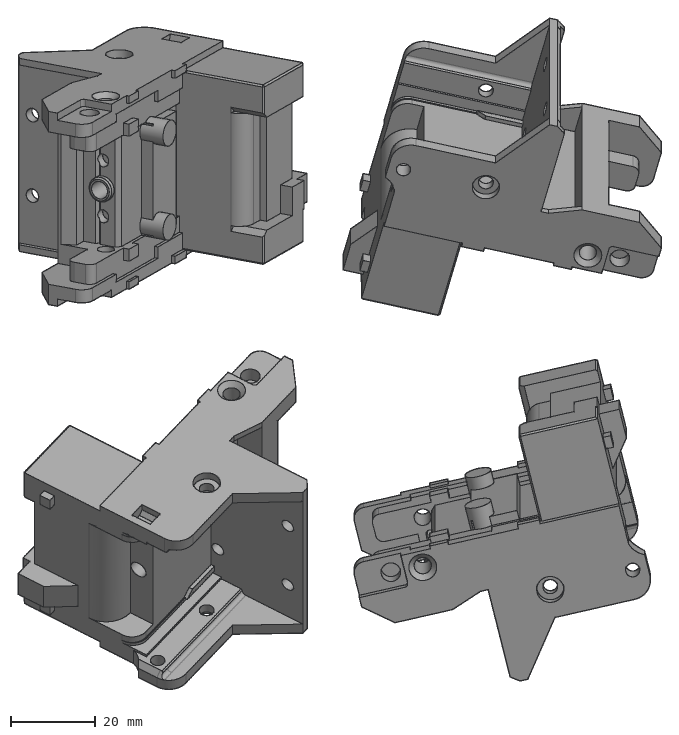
import cadquery as cq
HALF_X = 29.55
HALF_Y = 35.0
HALF_Z = 24.185

FLANGE_LEFT = -16.1
FLANGE_RIGHT = 7.4
FLANGE_BACK = 30.1
FLANGE_THICK = 3.15
FLANGE_CORNER = 4.9
BACK_EAR_Y = 33.2
EAR_CURVE_LEFT = -5.8
EAR_CURVE_RIGHT = -2.3
EAR_CURVE_RADIUS = 5.6
BAND_WIDTH = 3.0
COVE_RADIUS = 1.05
STEP_TOP = 4.55
LEDGE_LEFT = -6.0
LEDGE_TOP = 5.2
INNER_LEDGE_LEFT = -3.35
INNER_LEDGE_TOP = 6.0

PLATE_BACK = -0.9
PLATE_FRONT = -3.7
LIP_FRONT = -4.9
LIP_THICK = 1.7
POCKET_LEFT = -28.85
POCKET_RIGHT = -1.5
PLATE_HOLE_DIA = 3.35
PLATE_HOLE_PITCH = 20.15
PLATE_HOLE_X = -25.2

LEG_LEFT = -8.55
LEG_BACK = -14.2
LEG_FRONT = -20.7
WING_BACK_Y = 8.9
TIP_BACK_Y = -2.8
TIP_FRONT_X = -28.0
NECK_X = -5.7
NECK_Y = -6.7
FOOT_THICK = 5.1
FOOT_CHAMFER_X = -2.9
FOOT_CHAMFER_Y = -28.2
FOOT_CORNER = 2.95
WEB_LEFT = -3.1
WEB_RIGHT = 6.5
WEB_MID_LEFT = 3.5
WEB_MID_RIGHT = 5.6
WEB_CORNER = 4.05
WEB_MID_CORNER = 7.0
WEB_MID_HALF_Z = 16.25
RECESS_HALF_Z = 14.15
RECESS_FACE = -16.2
RECESS_BEVEL = 1.1

BOX_FRONT = 10.9
BOX_HALF_Z = 22.5
NOTCH_LEFT = 20.65
CORE_RIGHT = 26.3
CORE_CORNER = 3.85
CORE_SHELF_Y = 17.9
BOX_BEVEL = 0.4
NOTCH_BEVEL = 1.4
TAB_TOP = -7.0

BUMP_HEIGHT = 1.9
LONG_BUMP_RIGHT = 8.4
SHORT_BUMP_RIGHT = 8.1
SHORT_BUMP_FRONT = -15.8
SHORT_BUMP_BACK = -11.4
CLIP_TOP = 17.15
LUG_Y = -3.15
LUG_Z = 11.75
LUG_DIA = 6.3
LUG_END = 11.9
SLAB_RIGHT = 8.75
SLAB_FRONT = -5.6
SLAB_BACK = 5.6
NUB_LEFT = 20.5
NUB_RIGHT = 23.45
NUB_BACK = 31.9
NUB_BOTTOM = 16.65
NUB_TOP = 19.75

FLANGE_HOLE = (-9.0, 9.45)
FLANGE_HOLE_DIA = 3.5
FLANGE_BORE_DIA = 6.45
FLANGE_BORE_DEPTH = 2.1
FOOT_HOLE = (3.35, -18.6)
FOOT_HOLE_DIA = 4.05
FOOT_SINK_DIA = 6.6
FOOT_DIMPLE_Y = -26.4
FOOT_DIMPLE_DIA = 4.6
EAR_HOLE = (-8.9, 29.55)
EAR_HOLE_DIA = 3.35
TUBE_X = 1.1
TUBE_HOLE_DIA = 4.35
TUBE_DIA = 6.15
TUBE_LENGTH = 1.55
TUBE_BEVEL = 0.4
PIN_HOLE_DIA = 3.2
PIN_HOLE_DEPTH = 2.8
PIN_HOLE_Z = 7.0


def block(x0, x1, y0, y1, z0, z1):
    """Box between two opposite corners."""
    return cq.Workplane("XY").box(x1 - x0, y1 - y0, z1 - z0, centered=False).translate((x0, y0, z0))


def mirrored(shape):
    """The shape joined with its mirror image about Z = 0."""
    return shape.union(shape.mirror("XY"))


def upright(x, y, dia, z0, z1):
    """Cylinder along Z."""
    return cq.Workplane("XY").workplane(offset=z0).center(x, y).circle(dia / 2).extrude(z1 - z0)


def along_y(x, z, dia, y0, y1):
    """Cylinder along Y."""
    return cq.Workplane("XZ", origin=(x, y0, z)).circle(dia / 2).extrude(y0 - y1)


def flange_plate():
    """Top flange: rounded back, pointed wing on the left and a leg ending in the foot."""
    outline = [
        (FLANGE_LEFT, FLANGE_BACK),
        (FLANGE_LEFT, WING_BACK_Y),
        (-HALF_X, PLATE_BACK),
        (-HALF_X, TIP_BACK_Y),
        (TIP_FRONT_X, LIP_FRONT),
        (NECK_X, LIP_FRONT),
        (NECK_X, NECK_Y),
        (LEG_LEFT, LEG_BACK),
        (LEG_LEFT, FOOT_CHAMFER_Y),
        (FOOT_CHAMFER_X, -HALF_Y),
        (FLANGE_RIGHT, -HALF_Y),
        (FLANGE_RIGHT, FLANGE_BACK),
    ]
    plate = cq.Workplane("XY").polyline(outline).close().extrude(FLANGE_THICK)
    plate = plate.edges(cq.NearestToPointSelector((FLANGE_LEFT, FLANGE_BACK, 0))).fillet(FLANGE_CORNER)
    plate = plate.edges(cq.NearestToPointSelector((FLANGE_RIGHT, -HALF_Y, 0))).fillet(FOOT_CORNER)
    foot_extra = block(-HALF_X, HALF_X, -HALF_Y, LEG_FRONT, FLANGE_THICK - FOOT_THICK, 0)
    foot = plate.translate((0, 0, FLANGE_THICK - FOOT_THICK)).intersect(foot_extra)
    return plate.union(foot).translate((0, 0, HALF_Z - FLANGE_THICK))


def rounded_slab(left, right, corner, z0, z1):
    """Slab behind the mounting plate with its back left corner rounded."""
    slab = block(left, right, PLATE_BACK, FLANGE_BACK, z0, z1)
    return slab.edges("|Z and <X and >Y").fillet(corner)


def edge_band_cut():
    """Material removed along the left edge of the bottom flange: a flat band ending in a cove and a bevel."""
    band_end = FLANGE_LEFT + BAND_WIDTH
    cove_end = band_end + COVE_RADIUS
    cove_top = FLANGE_THICK + COVE_RADIUS
    cut = (
        cq.Workplane("XZ", origin=(0, HALF_Y, -HALF_Z))
        .moveTo(FLANGE_LEFT, FLANGE_THICK)
        .lineTo(band_end, FLANGE_THICK)
        .radiusArc((cove_end, cove_top), -COVE_RADIUS)
        .lineTo(cove_end + STEP_TOP - cove_top, STEP_TOP)
        .lineTo(FLANGE_LEFT, STEP_TOP)
        .close()
    )
    return cut.extrude(HALF_Y - PLATE_BACK)


def flange_steps():
    """Stepped inner side of the bottom flange, rising towards the web."""
    step_z = STEP_TOP - HALF_Z
    ledge_z = LEDGE_TOP - HALF_Z
    step = rounded_slab(FLANGE_LEFT, FLANGE_RIGHT, FLANGE_CORNER, FLANGE_THICK - HALF_Z, step_z)
    ledge = block(LEDGE_LEFT, FLANGE_RIGHT, PLATE_BACK, FLANGE_BACK, step_z, ledge_z)
    inner_ledge = rounded_slab(INNER_LEDGE_LEFT, FLANGE_RIGHT, WEB_CORNER, ledge_z, INNER_LEDGE_TOP - HALF_Z)
    return step.cut(edge_band_cut()).union(ledge).union(inner_ledge)


def back_ear():
    """Rear extension of the bottom flange with a hollow curve back to the flange edge."""
    start = PLATE_BACK
    ear = (
        cq.Workplane("XY")
        .moveTo(FLANGE_LEFT, start)
        .lineTo(FLANGE_LEFT, BACK_EAR_Y - FLANGE_CORNER)
        .radiusArc((FLANGE_LEFT + FLANGE_CORNER, BACK_EAR_Y), FLANGE_CORNER)
        .lineTo(EAR_CURVE_LEFT, BACK_EAR_Y)
        .radiusArc((EAR_CURVE_RIGHT, FLANGE_BACK), -EAR_CURVE_RADIUS)
        .lineTo(EAR_CURVE_RIGHT, start)
        .close()
        .extrude(STEP_TOP)
        .faces(">Z").edges(">Y").chamfer(STEP_TOP - FLANGE_THICK)
    )
    return ear.translate((0, 0, -HALF_Z)).cut(edge_band_cut())


def web_rounding():
    """Material removed from the back of the web and box, leaving a wide recessed rounding."""
    start = FLANGE_BACK - WEB_MID_CORNER
    cut = (
        cq.Workplane("XY", origin=(0, 0, -WEB_MID_HALF_Z))
        .moveTo(WEB_LEFT, start)
        .lineTo(WEB_MID_LEFT, start)
        .radiusArc((WEB_MID_LEFT + WEB_MID_CORNER, FLANGE_BACK), WEB_MID_CORNER)
        .lineTo(WEB_LEFT, FLANGE_BACK)
        .close()
    )
    return cut.extrude(2 * WEB_MID_HALF_Z)


def web():
    """Upright wall joining the flanges, with the mounting plate and the leg."""
    inner_z = HALF_Z - FLANGE_THICK
    body = rounded_slab(WEB_LEFT, WEB_RIGHT, WEB_CORNER, -inner_z, inner_z)
    front_wall = block(POCKET_RIGHT, WEB_RIGHT, LEG_FRONT, PLATE_BACK, -inner_z, inner_z)
    leg = block(LEG_LEFT, WEB_RIGHT, LEG_FRONT, LEG_BACK, -inner_z, inner_z)
    plate = block(-HALF_X, WEB_RIGHT, PLATE_FRONT, PLATE_BACK, -HALF_Z, HALF_Z)
    plate = plate.edges("|Z and <X and <Y").chamfer(TIP_BACK_Y - PLATE_FRONT, POCKET_LEFT + HALF_X)
    side_relief = block(WEB_MID_RIGHT, WEB_RIGHT, -HALF_Y, BOX_FRONT, -RECESS_HALF_Z, RECESS_HALF_Z)
    return body.union(front_wall).union(leg).union(plate).cut(side_relief)


def web_rail():
    """Small rail on the left face of the web, sloping into the top ledge."""
    depth = 1.0
    height = 1.7
    top_end = 10.35
    bottom_end = 8.2
    top = HALF_Z - INNER_LEDGE_TOP
    bottom = top - height
    profile = [(PLATE_BACK, top), (top_end, top), (bottom_end, bottom), (PLATE_BACK, bottom)]
    return cq.Workplane("YZ", origin=(WEB_LEFT - depth, 0, 0)).polyline(profile).close().extrude(depth)


def foot_block():
    """Raised block on the inner side of the top foot."""
    left = -0.4
    front = -30.5
    corner = 1.9
    pad = block(left, WEB_RIGHT, front, LEG_FRONT, RECESS_HALF_Z, HALF_Z - FOOT_THICK)
    return pad.edges("|Z and <Y").fillet(corner)


def plate_pocket():
    """Shallow pocket in the mounting plate, running on behind the leg."""
    half_z = HALF_Z - LIP_THICK
    return block(POCKET_LEFT, POCKET_RIGHT, LEG_BACK, PLATE_FRONT, -half_z, half_z)


def leg_recess():
    """Recess in the front of the leg, open to the right, with a V groove in its face."""
    slope_start_x = -7.6
    slope_end = (-4.1, -19.4)
    groove_left = -0.9
    groove_depth = 0.7
    bevel_back = RECESS_FACE + RECESS_BEVEL
    outline = [
        (slope_start_x, LEG_FRONT),
        slope_end,
        (slope_end[0], RECESS_FACE),
        (groove_left, RECESS_FACE),
        (groove_left + groove_depth, RECESS_FACE + groove_depth),
        (groove_left + 2 * groove_depth, RECESS_FACE),
        (WEB_MID_RIGHT - RECESS_BEVEL, RECESS_FACE),
        (WEB_MID_RIGHT, bevel_back),
        (WEB_RIGHT, bevel_back),
        (WEB_RIGHT, LEG_FRONT),
    ]
    recess = cq.Workplane("XY").polyline(outline).close().extrude(2 * RECESS_HALF_Z)
    return recess.translate((0, 0, -RECESS_HALF_Z))


def right_box():
    """Box on the right, notched on its outer side around a rounded core."""
    box = block(WEB_MID_RIGHT, HALF_X, BOX_FRONT, FLANGE_BACK, -BOX_HALF_Z, BOX_HALF_Z)
    box = box.faces(">X or <Y").chamfer(BOX_BEVEL)
    notch = block(NOTCH_LEFT, HALF_X, BOX_FRONT, FLANGE_BACK, -RECESS_HALF_Z, RECESS_HALF_Z)
    core_edge = NOTCH_LEFT + CORE_CORNER
    core = block(WEB_MID_RIGHT, core_edge, BOX_FRONT, FLANGE_BACK, -RECESS_HALF_Z, RECESS_HALF_Z)
    core = core.edges("|Z and >X and <Y").fillet(CORE_CORNER)
    shelf = block(core_edge, CORE_RIGHT, CORE_SHELF_Y, FLANGE_BACK, -RECESS_HALF_Z, RECESS_HALF_Z)
    core = core.union(shelf)
    bevel = (
        cq.Workplane("YZ", origin=(NOTCH_LEFT, 0, 0))
        .polyline([
            (BOX_FRONT, RECESS_HALF_Z),
            (BOX_FRONT, RECESS_HALF_Z + NOTCH_BEVEL),
            (BOX_FRONT + NOTCH_BEVEL, RECESS_HALF_Z),
        ])
        .close()
        .extrude(HALF_X - NOTCH_LEFT)
    )
    return box.cut(notch.cut(core)).cut(mirrored(bevel))


def rear_tab():
    """Tab behind the box with a sloped left side, and the block carrying it."""
    left = 13.65
    slope_end = 20.2
    right = 27.6
    root = FLANGE_BACK - 3.5
    outline = [
        (left, FLANGE_BACK),
        (slope_end, HALF_Y),
        (right, HALF_Y),
        (right, root),
        (left, root),
    ]
    tab = cq.Workplane("XY").polyline(outline).close().extrude(TAB_TOP + RECESS_HALF_Z)
    tab = tab.translate((0, 0, -RECESS_HALF_Z))
    carrier = block(CORE_RIGHT - 0.7, HALF_X, FLANGE_BACK - 5.6, FLANGE_BACK, -RECESS_HALF_Z, TAB_TOP)
    return tab.union(carrier)


def side_details():
    """Bumps, clips, slab and round lugs on the right side of the web, and the rear nubs."""
    bump_bottom = HALF_Z - BUMP_HEIGHT
    root = FLANGE_RIGHT - 0.7
    long_bump = block(root, LONG_BUMP_RIGHT, SLAB_BACK, BOX_FRONT, bump_bottom, HALF_Z)
    short_bump = block(root, SHORT_BUMP_RIGHT, SHORT_BUMP_FRONT, SHORT_BUMP_BACK, bump_bottom, HALF_Z)
    clip = block(WEB_MID_RIGHT, SHORT_BUMP_RIGHT, SHORT_BUMP_FRONT, SHORT_BUMP_BACK, RECESS_HALF_Z, CLIP_TOP)
    lug_root = WEB_MID_RIGHT - 0.7
    lug = cq.Workplane("YZ", origin=(lug_root, LUG_Y, LUG_Z)).circle(LUG_DIA / 2).extrude(LUG_END - lug_root)
    nub = block(NUB_LEFT, NUB_RIGHT, FLANGE_BACK - 0.7, NUB_BACK, NUB_BOTTOM, NUB_TOP)
    slab = block(WEB_MID_RIGHT, SLAB_RIGHT, SLAB_FRONT, SLAB_BACK, -RECESS_HALF_Z, RECESS_HALF_Z)
    pairs = long_bump.union(short_bump).union(clip).union(lug).union(nub)
    return mirrored(pairs).union(slab)


def foot_cuts():
    """Shallow step on the outer face of the top foot, its blind hole and the countersunk hole."""
    step_depth = 1.8
    step_left = -0.5
    step_back = -23.0
    step_corner = 0.85
    dimple_depth = 5.6
    step = block(step_left, FLANGE_RIGHT, -HALF_Y, step_back, HALF_Z - step_depth, HALF_Z)
    step = step.edges("|Z and <X and >Y").fillet(step_corner)
    dimple = upright(FOOT_HOLE[0], FOOT_DIMPLE_Y, FOOT_DIMPLE_DIA, HALF_Z - dimple_depth, HALF_Z)
    hole = upright(*FOOT_HOLE, FOOT_HOLE_DIA, RECESS_HALF_Z, HALF_Z)
    sink_depth = (FOOT_SINK_DIA - FOOT_HOLE_DIA) / 2
    sink_floor = cq.Workplane("XY", origin=(*FOOT_HOLE, HALF_Z - sink_depth)).circle(FOOT_HOLE_DIA / 2)
    sink = sink_floor.workplane(offset=sink_depth).circle(FOOT_SINK_DIA / 2).loft()
    return step.union(dimple).union(hole).union(sink)


def flange_cuts():
    """Counterbored hole through the top flange."""
    hole = upright(*FLANGE_HOLE, FLANGE_HOLE_DIA, 0, HALF_Z)
    bore = upright(*FLANGE_HOLE, FLANGE_BORE_DIA, HALF_Z - FLANGE_BORE_DEPTH, HALF_Z)
    return hole.union(bore)


def latch_pocket():
    """Small rectangular pocket in the top flange with sloped front and back walls."""
    left = -5.8
    width = 5.25
    front = 24.1
    back = 28.2
    depth = 2.8
    front_slope = 1.05
    back_slope = 0.9
    profile = [
        (front, HALF_Z),
        (front, HALF_Z - depth + front_slope),
        (front + front_slope, HALF_Z - depth),
        (back - back_slope, HALF_Z - depth),
        (back, HALF_Z),
    ]
    return cq.Workplane("YZ", origin=(left, 0, 0)).polyline(profile).close().extrude(width)


part = mirrored(flange_plate())
part = part.union(mirrored(flange_steps()))
part = part.union(back_ear()).union(web()).union(mirrored(web_rail()))
part = part.cut(plate_pocket()).cut(leg_recess())
part = part.union(mirrored(foot_block())).union(right_box()).union(rear_tab()).union(side_details())
tube = along_y(TUBE_X, 0, TUBE_DIA, RECESS_FACE - TUBE_LENGTH, RECESS_FACE + 0.7)
part = part.union(tube.faces("<Y").chamfer(TUBE_BEVEL))

part = part.cut(web_rounding()).cut(mirrored(foot_cuts())).cut(mirrored(flange_cuts())).cut(latch_pocket())
part = part.cut(upright(*EAR_HOLE, EAR_HOLE_DIA, -HALF_Z, 0))
part = part.cut(along_y(TUBE_X, 0, TUBE_HOLE_DIA, -HALF_Y, HALF_Y))
for side in (-1, 1):
    pin_end = RECESS_FACE + PIN_HOLE_DEPTH
    part = part.cut(along_y(TUBE_X, side * PIN_HOLE_Z, PIN_HOLE_DIA, RECESS_FACE, pin_end))
    for column in (0, 1):
        hole_x = PLATE_HOLE_X + column * PLATE_HOLE_PITCH
        hole_z = side * PLATE_HOLE_PITCH / 2
        part = part.cut(along_y(hole_x, hole_z, PLATE_HOLE_DIA, PLATE_FRONT, PLATE_BACK))

result = part